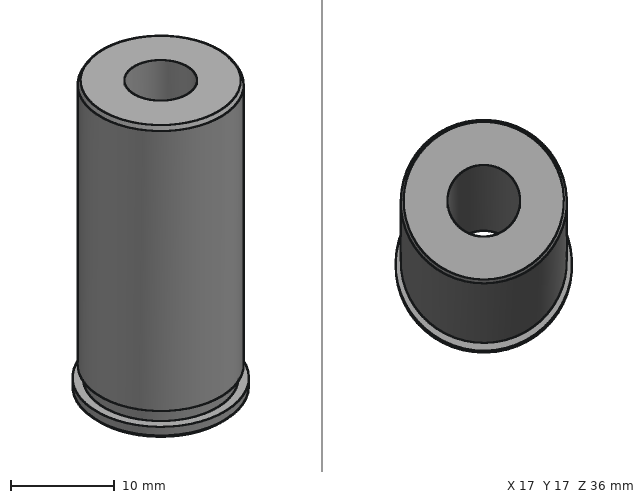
import cadquery as cq
import math

total_height = 36.0
body_diameter = 16.0
flange_diameter = 17.0
groove_diameter = 15.0
bore_diameter = 7.0

flange_thickness = 1.5
groove_width = 1.5
flange_chamfer = 0.5

lead_in_height = 0.5
lead_in_angle = 30.0
lead_in_depth = lead_in_height * math.tan(math.radians(lead_in_angle))


def turned_body():
    """Revolve the outer profile: chamfered flange, relief groove, body with lead-in."""
    body_radius = body_diameter / 2
    flange_radius = flange_diameter / 2
    groove_radius = groove_diameter / 2
    groove_top = flange_thickness + groove_width

    profile = [
        (0, 0),
        (flange_radius - flange_chamfer, 0),
        (flange_radius, flange_chamfer),
        (flange_radius, flange_thickness),
        (groove_radius, flange_thickness),
        (groove_radius, groove_top),
        (body_radius, groove_top),
        (body_radius, total_height - lead_in_height),
        (body_radius - lead_in_depth, total_height),
        (0, total_height),
    ]
    return cq.Workplane("XZ").polyline(profile).close().revolve(360, (0, 0, 0), (0, 1, 0))


def bore():
    """Straight hole through the full height."""
    return cq.Workplane("XY").circle(bore_diameter / 2).extrude(total_height)


result = turned_body().cut(bore())